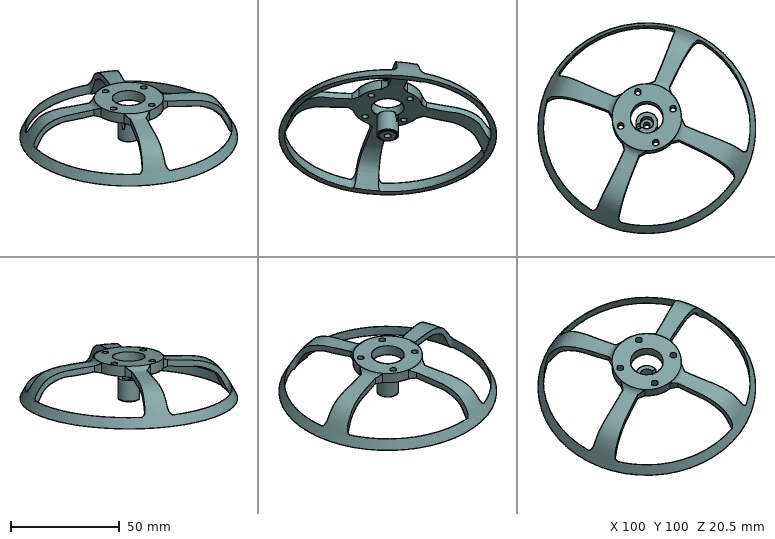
import cadquery as cq

rim_radius = 50.0
window_radius = 47.4
hub_radius = 15.9
hub_top = 20.0
hub_bottom = 15.0
bore_diameter = 15.0

shoulder_radius = 18.7
gusset_middle = (17.0, 18.6)
outer_shoulder = (shoulder_radius, 17.9)
outer_knee = (36.0, 15.8)
outer_knee_mid = (41.5, 13.0)
outer_skirt = (44.9, 9.0)
outer_crown_tangent = (1, -0.13)
inner_rim_radius = 46.8
inner_skirt_top = (43.2, 7.0)
inner_knee_mid = (39.6, 10.9)
inner_knee = (34.5, 13.2)
inner_crown_tangent = (-1, 0.15)

arm_count = 4
arm_angle = 44.0
arm_root = (14.5, 6.2)
arm_neck = (17.5, 3.7)
arm_middle = (31.0, 4.1)
arm_tip = (50.0, 6.0)
window_corner_radius = 2.0

screw_count = 4
screw_diameter = 3.0
screw_circle_radius = 12.7
screw_angle = -4.0

bushing_diameter = 10.0
bushing_top = 10.0
spigot_diameter = 8.3
spigot_length = 0.5
bushing_bore_diameter = 3.1
counterbore_diameter = 6.0
notch_width = 2.2
notch_depth = 4.0
notch_tip_radius = 0.4
counterbore_depth = 5.0


def mirrored(point):
    return (point[0], -point[1])


def make_dome():
    """Hub and domed skirt as one revolved profile, still without windows."""
    bore_radius = bore_diameter / 2
    outer_skirt_tangent = (rim_radius - outer_skirt[0], -outer_skirt[1])
    inner_skirt_tangent = (inner_skirt_top[0] - inner_rim_radius, inner_skirt_top[1])
    profile = (
        cq.Workplane("XZ")
        .moveTo(bore_radius, hub_top)
        .lineTo(hub_radius, hub_top)
        .threePointArc(gusset_middle, outer_shoulder)
        .spline(
            [outer_knee, outer_knee_mid, outer_skirt, (rim_radius, 0)],
            tangents=[outer_crown_tangent, outer_skirt_tangent],
            includeCurrent=True,
        )
        .lineTo(inner_rim_radius, 0)
        .lineTo(*inner_skirt_top)
        .spline(
            [inner_knee_mid, inner_knee, (shoulder_radius, hub_bottom)],
            tangents=[inner_skirt_tangent, inner_crown_tangent],
            includeCurrent=True,
        )
        .lineTo(bore_radius, hub_bottom)
        .close()
    )
    return profile.revolve(360, (0, 0, 0), (0, 1, 0))


def make_arm_plan(angle):
    """Plan shape of one arm, flared at the hub and widening to the rim."""
    arm = (
        cq.Workplane("XY")
        .moveTo(0, arm_root[1])
        .lineTo(*arm_root)
        .lineTo(*arm_neck)
        .threePointArc(arm_middle, arm_tip)
        .lineTo(*mirrored(arm_tip))
        .threePointArc(mirrored(arm_middle), mirrored(arm_neck))
        .lineTo(*mirrored(arm_root))
        .lineTo(0, -arm_root[1])
        .close()
        .extrude(hub_top)
    )
    return arm.rotate((0, 0, 0), (0, 0, 1), angle)


def make_windows():
    """The openings between hub, arms and rim, with rounded outer corners."""
    windows = cq.Workplane("XY").circle(window_radius).circle(hub_radius).extrude(hub_top)
    for index in range(arm_count):
        windows = windows.cut(make_arm_plan(arm_angle + index * 360 / arm_count))
    hub_zone = cq.selectors.BoxSelector(
        (-hub_radius, -hub_radius, 0), (hub_radius, hub_radius, hub_top)
    )
    corners = windows.edges("|Z").edges(cq.selectors.InverseSelector(hub_zone))
    return corners.fillet(window_corner_radius)


def make_wheel():
    screw_holes = (
        cq.Workplane("XY")
        .polarArray(screw_circle_radius, screw_angle, 360, screw_count)
        .circle(screw_diameter / 2)
        .extrude(hub_top)
    )
    return make_dome().cut(make_windows()).cut(screw_holes).solids()


def make_notch():
    """Tapering radial groove from the counterbore out through the -Y side."""
    tip_center = bushing_top - notch_depth + notch_tip_radius
    half_width = notch_width / 2
    return (
        cq.Workplane("XZ")
        .moveTo(-half_width, bushing_top)
        .lineTo(-notch_tip_radius, tip_center)
        .threePointArc((0, bushing_top - notch_depth), (notch_tip_radius, tip_center))
        .lineTo(half_width, bushing_top)
        .close()
        .extrude(bushing_diameter)
    )


def make_bushing():
    sleeve = cq.Workplane("XY").circle(bushing_diameter / 2).extrude(bushing_top)
    spigot = cq.Workplane("XY").circle(spigot_diameter / 2).extrude(-spigot_length)
    body = sleeve.union(spigot).cut(make_notch())
    bored = (
        body.faces(">Z")
        .workplane(origin=(0, 0, bushing_top))
        .cboreHole(bushing_bore_diameter, counterbore_diameter, counterbore_depth)
    )
    return bored.solids()


wheel = make_wheel()
bushing = make_bushing()
result = cq.Compound.makeCompound([wheel.val(), bushing.val()])